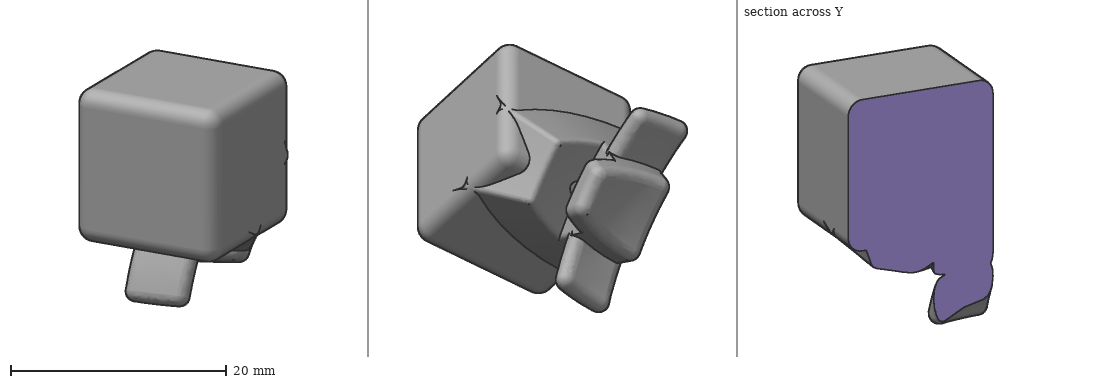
import cadquery as cq
import math


cube_size = 15.0
cube_round = 1.5
cube_far_side = 2 * cube_size

cone_angle = 30
cone_clearance = 0.4
tip_offset = cone_clearance / math.cos(math.radians(cone_angle))
neck_reach = 26.3
neck_edge_round = 0.5
groove_radius = 23.01

wing_outer_radius = 22.0
wing_inner_radius = 19.98
wing_width = 6.19
wing_tip = 6.3
wing_round = 1.0

flange_radius = 20.0
flange_width = 8.9
core_radius = 16.9
foot_tip = 8.77
foot_round = 1.0

joint_radius = (wing_outer_radius + wing_inner_radius) / 2

tolerance = 0.002


def ball_slice(radius, x_start, x_end):
    """Part of an origin-centred ball between two positions along X."""

    def rim(x):
        return x, math.sqrt(radius**2 - x**2)

    profile = cq.Workplane("XY").moveTo(x_start, 0).lineTo(*rim(x_start))
    profile = profile.threePointArc(rim((x_start + x_end) / 2), rim(x_end)).lineTo(x_end, 0).close()
    return profile.revolve(360, (0, 0, 0), (1, 0, 0))


def block(near, far, width):
    """Square bar from X = 0 up, reaching from near to far along both -Y and +Z."""
    side = far - near
    return cq.Workplane("XY").box(width, side, side, centered=False).translate((0, -far, near))


def cone(direction, tip_distance):
    """Solid cone opening along a direction, with its tip that far from the origin."""
    axis = cq.Vector(*direction)
    height = 2 * cube_far_side
    base_radius = height / math.tan(math.radians(cone_angle))
    return cq.Workplane(cq.Solid.makeCone(0, base_radius, height, axis * tip_distance, axis))


def wedge(width):
    """Space between the two cones that form the lower and rear sides of neck and foot."""
    space = block(0, neck_reach, width)
    return space.intersect(cone((0, 0, 1), tip_offset)).intersect(cone((0, -1, 0), tip_offset))


def round_edges(body, radius, wanted):
    """Fillet the edges whose centre (x, distance from the mirror plane, distance from X axis) is wanted."""

    def is_wanted(edge):
        center = edge.Center()
        return wanted(center.x, abs(center.y + center.z), math.hypot(center.y, center.z))

    return body.newObject([edge for edge in body.edges().vals() if is_wanted(edge)]).fillet(radius)


def make_cube():
    return block(cube_size, cube_far_side, cube_size).edges().fillet(cube_round)


def make_neck():
    neck = wedge(cube_size).cut(cone((1, 0, 0), -tip_offset))
    neck = neck.cut(ball_slice(joint_radius, 0, wing_width))
    neck = neck.cut(ball_slice(groove_radius, wing_width, cube_size))

    def left_sides(x, off_mirror, radius):
        return x < tolerance and off_mirror > tolerance and radius < neck_reach

    def right_rim(x, off_mirror, radius):
        groove_wall = x < wing_width + tolerance and off_mirror < tolerance
        return x > wing_width - tolerance and radius < neck_reach and not groove_wall

    neck = round_edges(neck, cube_round, left_sides)
    return round_edges(neck, neck_edge_round, right_rim)


def make_foot():
    hook = ball_slice(flange_radius, 0, flange_width).union(ball_slice(joint_radius, 0, wing_width))
    foot = wedge(flange_width).intersect(hook).cut(ball_slice(core_radius, 0, flange_width))

    core_edge_x = flange_width / 2
    core_edge_spread = 0.47

    def outer_edges(x, off_mirror, radius):
        left = x < tolerance and radius < flange_radius
        flange = x > wing_width + tolerance
        core_side = abs(x - core_edge_x) < core_edge_spread
        return left or flange or core_side

    foot = round_edges(foot, foot_round, outer_edges)
    return foot.intersect(block(foot_tip, cube_far_side, flange_width))


def make_wings():
    shell = ball_slice(wing_outer_radius, 0, wing_width).cut(ball_slice(wing_inner_radius, 0, wing_width))
    return shell.intersect(block(wing_tip, cube_far_side, wing_width)).edges().fillet(wing_round)


result = make_cube().union(make_neck()).union(make_wings()).union(make_foot())